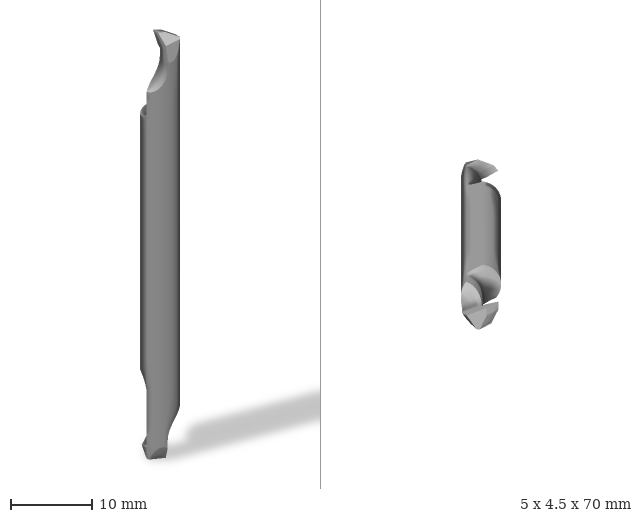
import cadquery as cq
import math


length = 70.0
shank_diameter = 5.0
width_across_flats = 4.5
shank_radius = shank_diameter / 2
half_width = width_across_flats / 2
half_length = length / 2
half_flat = math.sqrt(shank_radius**2 - half_width**2)

neck_back_x = -0.1
neck_depth = half_flat - neck_back_x
neck_radius = (neck_depth**2 + half_width**2) / (2 * neck_depth)
neck_axis_x = neck_back_x + neck_radius
neck_start_z = 21.7
shoulder_radius = 2.0

rake_length = 3.4
runout_length = 4.3
runout_radius = (runout_length**2 + half_width**2) / (2 * half_width)

tooth_tip_x = -2.3
tooth_tip_drop = 0.9
tooth_height = 2.0
tooth_flank_angle = 30.0
tooth_root_x = -0.6
primary_land = 0.9
primary_shift = 0.35
full_shift = 1.8

clearance_end_x = 1.9
clearance_z_slope = 0.27
clearance_y_slope = 0.24

margin = 1.4


def make_shank():
    flats = cq.Workplane("XY").box(2 * shank_diameter, width_across_flats, length)
    return cq.Workplane("XY").circle(shank_radius).extrude(half_length, both=True).intersect(flats)


def make_neck_cutter():
    """Space around the neck, with a concave shoulder, turned about the neck axis."""
    shoulder_x = neck_radius + shoulder_radius
    outer_x = neck_radius + 2 * shoulder_radius
    top_z = half_length + margin
    mid_offset = shoulder_radius / math.sqrt(2)
    shoulder_z = neck_start_z + shoulder_radius
    profile = (
        cq.Workplane("XZ")
        .moveTo(neck_radius, top_z)
        .lineTo(neck_radius, shoulder_z)
        .threePointArc((shoulder_x - mid_offset, shoulder_z - mid_offset), (shoulder_x, neck_start_z))
        .threePointArc((shoulder_x + mid_offset, shoulder_z - mid_offset), (outer_x, shoulder_z))
        .lineTo(outer_x, top_z)
        .close()
    )
    ring = profile.revolve(360, (0, 0, 0), (0, 1, 0)).translate((neck_axis_x, 0, 0))
    neck_side = cq.Workplane("XY").box(
        2 * shank_diameter, 2 * shank_diameter, 2 * length
    ).translate((half_flat - shank_diameter, 0, 0))
    return ring.intersect(neck_side)


def make_tooth():
    """Tooth swept back from the rake face over a primary and a steeper secondary relief."""
    tip_z = half_length - tooth_tip_drop
    top_x = tooth_tip_x + tooth_tip_drop / math.tan(math.radians(tooth_flank_angle))
    root_z = half_length - tooth_height

    def section(y, shift):
        outline = [
            (tooth_tip_x + shift, tip_z),
            (top_x + shift, half_length),
            (shank_diameter + shift, half_length),
            (shank_diameter + shift, root_z),
            (tooth_root_x + shift, root_z),
        ]
        return cq.Wire.makePolygon([cq.Vector(x, y, z) for x, z in outline], close=True)

    rake = section(0, 0)
    land_end = section(primary_land, primary_shift)
    back = section(half_width, full_shift)
    primary = cq.Solid.makeLoft([rake, land_end], True)
    secondary = cq.Solid.makeLoft([land_end, back], True)
    return cq.Workplane(obj=primary).union(cq.Workplane(obj=secondary))


def make_end_space():
    """Everything above the tooth root, cleared before the tooth is added."""
    return (
        cq.Workplane("XY", origin=(0, 0, half_length - tooth_height))
        .rect(2 * shank_diameter, 2 * shank_diameter)
        .extrude(tooth_height + margin)
    )


def make_rake_cutter():
    """Space in front of the rake face, with a circular run-out to the -Y flat."""
    rake_end_z = half_length - rake_length
    runout_end_z = rake_end_z - runout_length
    mid_angle = math.asin(runout_length / runout_radius) / 2
    mid_y = -runout_radius * (1 - math.cos(mid_angle))
    mid_z = rake_end_z - runout_radius * math.sin(mid_angle)
    return (
        cq.Workplane("YZ")
        .moveTo(0, half_length + margin)
        .lineTo(0, rake_end_z)
        .threePointArc((mid_y, mid_z), (-half_width, runout_end_z))
        .lineTo(-half_width - margin, runout_end_z)
        .lineTo(-half_width - margin, half_length + margin)
        .close()
        .extrude(shank_diameter, both=True)
    )


def make_clearance_cutter():
    """Wedge that slopes the +X back of the end, leaning inward toward +Y."""

    def section(y):
        top_z = half_length + margin
        bottom_z = half_length - shank_diameter
        shift = clearance_end_x - clearance_y_slope * y
        outline = [
            (shift - clearance_z_slope * margin, top_z),
            (shift + clearance_z_slope * shank_diameter, bottom_z),
            (2 * shank_diameter, bottom_z),
            (2 * shank_diameter, top_z),
        ]
        return cq.Wire.makePolygon([cq.Vector(x, y, z) for x, z in outline], close=True)

    front = section(-half_width)
    back = section(half_width + margin)
    return cq.Workplane(obj=cq.Solid.makeLoft([front, back], True))


def turn_over(shape):
    """Half a turn about X, from the upper end to the lower end."""
    return shape.rotate((0, 0, 0), (1, 0, 0), 180)


def make_threading_bar():
    shank = make_shank()
    tooth = make_tooth().intersect(shank)
    end_removal = make_neck_cutter().union(make_end_space()).union(make_rake_cutter())
    clearance = make_clearance_cutter()

    bar = shank.cut(end_removal).cut(turn_over(end_removal))
    bar = bar.union(tooth).union(turn_over(tooth))
    return bar.cut(clearance).cut(turn_over(clearance)).clean()


threading_bar = make_threading_bar()

result = cq.Compound.makeCompound([*threading_bar.solids().vals()])